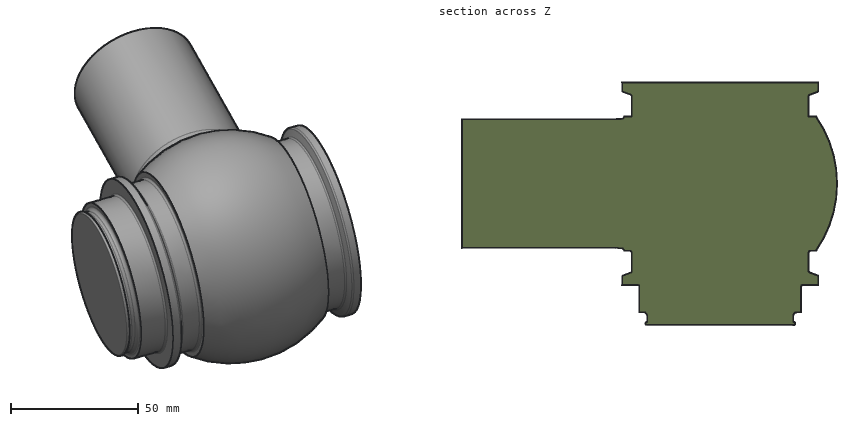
import cadquery as cq
import math


ball_radius = 46.0
ball_half_width = 26.4

overall_length = 147.5
pipe_radius = 25.4
pipe_end = overall_length - ball_radius
collar_radius = 25.5
collar_end = 41.1
collar_taper_end = 38.6

neck_radius = 34.8
flange_radius = 38.6
flange_face = 39.8
cone_tilt = math.radians(20)
flange_blend = 0.7
neck_start = 34.2
neck_root_fillet = 0.9

boss_radius = 31.8
boss_root_fillet = 0.7
boss_end = 50.6
groove_radius = 28.8
groove_fillet = 1.5
lip_radius = 29.5
lip_rise = 0.9
lip_width = 1.3
spigot_end = 55.6


def revolve_about_y(profile):
    """Revolve a closed (radius, y) profile about the port axis."""
    return profile.close().revolve(360, (0, 0, 0), (0, 1, 0))


def quarter_fillet(profile, corner_radius, corner_y, size):
    """Continue from (corner_radius + size, corner_y) around an inside corner."""
    mid_offset = size * (1 - math.sqrt(0.5))
    return profile.threePointArc(
        (corner_radius + mid_offset, corner_y + mid_offset),
        (corner_radius, corner_y + size),
    )


def ball():
    flat_radius = math.sqrt(ball_radius**2 - ball_half_width**2)
    profile = (
        cq.Workplane("XY")
        .moveTo(0, -ball_half_width)
        .lineTo(flat_radius, -ball_half_width)
        .threePointArc((ball_radius, 0), (flat_radius, ball_half_width))
        .lineTo(0, ball_half_width)
    )
    return revolve_about_y(profile)


def pipe():
    profile = (
        cq.Workplane("XY")
        .lineTo(-pipe_end, 0)
        .lineTo(-pipe_end, pipe_radius)
        .lineTo(-collar_end, pipe_radius)
        .lineTo(-collar_taper_end, collar_radius)
        .lineTo(0, collar_radius)
        .close()
    )
    return profile.revolve(360, (0, 0, 0), (1, 0, 0))


def ferrule(root_fillet=0):
    """Neck and flange pointing along +Y, with a tilted, rounded flange back."""
    turn = math.pi / 2 - cone_tilt
    blend_rise = flange_blend * (1 - math.cos(turn))
    blend_run = flange_blend * math.sin(turn)
    half_rise = flange_blend * (1 - math.cos(turn / 2))
    half_run = flange_blend * math.sin(turn / 2)
    cone_base = (neck_radius + blend_rise, neck_start + blend_run)
    cone_tip_radius = flange_radius - blend_rise
    cone_tip_y = cone_base[1] + (cone_tip_radius - cone_base[0]) * math.tan(cone_tilt)
    rim_y = cone_tip_y + blend_run

    profile = cq.Workplane("XY").moveTo(0, ball_half_width)
    profile = profile.lineTo(neck_radius + root_fillet, ball_half_width)
    if root_fillet:
        profile = quarter_fillet(profile, neck_radius, ball_half_width, root_fillet)
    profile = (
        profile.lineTo(neck_radius, neck_start)
        .threePointArc((neck_radius + half_rise, neck_start + half_run), cone_base)
        .lineTo(cone_tip_radius, cone_tip_y)
        .threePointArc((flange_radius - half_rise, rim_y - half_run), (flange_radius, rim_y))
        .lineTo(flange_radius, flange_face)
        .lineTo(0, flange_face)
    )
    return revolve_about_y(profile)


def spigot():
    """Boss, groove and rounded end lip pointing along +Y."""
    lip_start = spigot_end - lip_width
    profile = cq.Workplane("XY").lineTo(boss_radius + boss_root_fillet, 0)
    profile = profile.lineTo(boss_radius + boss_root_fillet, flange_face)
    profile = quarter_fillet(profile, boss_radius, flange_face, boss_root_fillet)
    profile = profile.lineTo(boss_radius, boss_end).lineTo(groove_radius + groove_fillet, boss_end)
    profile = quarter_fillet(profile, groove_radius, boss_end, groove_fillet)
    profile = (
        profile.lineTo(groove_radius, lip_start - lip_rise)
        .lineTo(lip_radius - lip_width / 2, lip_start)
        .threePointArc((lip_radius, spigot_end - lip_width / 2), (lip_radius - lip_width / 2, spigot_end))
        .lineTo(0, spigot_end)
    )
    return revolve_about_y(profile)


back_port = ferrule()
front_port = ferrule(neck_root_fillet).union(spigot()).mirror("XZ")

result = ball().union(pipe()).union(back_port).union(front_port)